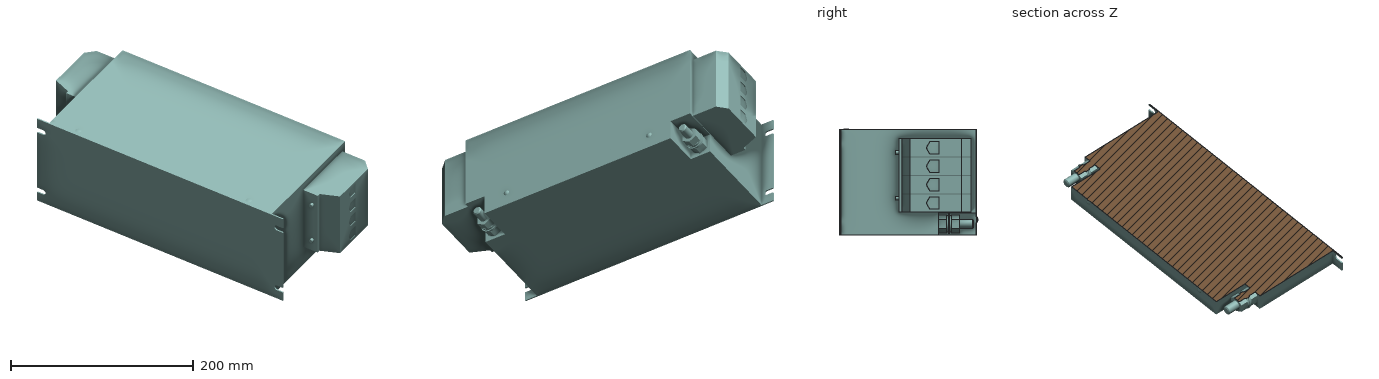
import cadquery as cq
import math

BOX_LENGTH = 290.0
BOX_DEPTH = 150.0
BOX_HEIGHT = 116.0
BOX_END_X = BOX_LENGTH / 2

PLATE_LENGTH = 320.0
PLATE_THICKNESS = 1.5
SLOT_WIDTH = 6.5
SLOT_DEPTH = 11.0
LOWER_SLOT_Z = 15.0
SLOT_SPACING = 85.0

DOME_DIAMETER = 6.8
TOP_DOME_HEIGHT = 0.47
REAR_DOME_HEIGHT = 1.47
TOP_SCREW_X = 111.0
TOP_SCREW_Y = 7.2
REAR_SCREW_X = 92.0
REAR_SCREW_Z = 17.0

OVERALL_LENGTH = 369.8
BLOCK_OUTER_X = OVERALL_LENGTH / 2
BLOCK_REAR_Y = 144.0
BLOCK_FRONT_Y = 67.9
BLOCK_CHAMFER = 10.2
SLOPE_LENGTH = 21.2
SLOPE_REAR_Y = 77.2
SLOPE_FRONT_Y = 68.6
TERMINAL_COUNT = 4
TERMINAL_PITCH = 20.15
BLOCK_BOTTOM_Z = 25.2
BLOCK_HEIGHT = TERMINAL_COUNT * TERMINAL_PITCH

ENTRY_REAR_Y = 108.8
ENTRY_SHOULDER_Y = 98.8
ENTRY_TIP_Y = 95.0
ENTRY_HALF_WIDTH = 6.8
ENTRY_DEPTH = 1.0

FLANGE_THICKNESS = 3.0
FLANGE_OUTER_X = BLOCK_OUTER_X - SLOPE_LENGTH
FLANGE_FRONT_Y = BLOCK_FRONT_Y - FLANGE_THICKNESS
FLANGE_SCREW_DIAMETER = 4.2
FLANGE_SCREW_LENGTH = 3.5
FLANGE_SCREW_X = 156.7
FLANGE_SCREW_SPACING = 50.0

RECESS_WIDTH = 25.0
RECESS_DEPTH = 41.8
RECESS_HEIGHT = 24.5
RECESS_FRONT_Y = BOX_DEPTH - RECESS_DEPTH
STUD_X = BOX_END_X - RECESS_WIDTH / 2
STUD_Z = 12.5
STUD_DIAMETER = 10.0
STUD_LENGTH = 38.4
STUD_CHAMFER = 1.2
NUT_ACROSS_FLATS = 17.0
NUT_ACROSS_CORNERS = NUT_ACROSS_FLATS / math.cos(math.radians(30))
NUT_HEIGHT = 8.9
WASHER_DIAMETER = 18.5
WASHER_THICKNESS = 2.2
DISC_DIAMETER = 21.0
DISC_THICKNESS = 1.1


def slab(x_range, y_range, z_range):
    """Rectangular block between the given limits."""
    corner, size = zip(*((low, high - low) for low, high in (x_range, y_range, z_range)))
    return cq.Workplane("XY").box(*size, centered=False).translate(corner)


def plane_along_y(x, y, z):
    """Work plane at a point, with normal +Y and local X along Z."""
    return cq.Workplane(cq.Plane(origin=(x, y, z), xDir=(0, 0, 1), normal=(0, 1, 0)))


def mirrored(x_sign, shape):
    """The shape itself at the +X end, its mirror image at the -X end."""
    return shape if x_sign > 0 else shape.mirror("YZ")


def housing():
    return slab((-BOX_END_X, BOX_END_X), (0, BOX_DEPTH), (0, BOX_HEIGHT))


def stud_recess():
    return slab((BOX_END_X - RECESS_WIDTH, BOX_END_X), (RECESS_FRONT_Y, BOX_DEPTH), (0, RECESS_HEIGHT))


def mounting_plate():
    plate_end_x = PLATE_LENGTH / 2
    plate = slab((-plate_end_x, plate_end_x), (0, PLATE_THICKNESS), (0, BOX_HEIGHT))
    for x in (-plate_end_x, plate_end_x):
        for z in (LOWER_SLOT_Z, LOWER_SLOT_Z + SLOT_SPACING):
            slot = plane_along_y(x, 0, z).slot2D(2 * SLOT_DEPTH, SLOT_WIDTH, 90).extrude(PLATE_THICKNESS)
            plate = plate.cut(slot)
    return plate


def screw_dome(height):
    """Spherical cap standing on the XY plane."""
    radius = DOME_DIAMETER / 2
    sphere_radius = (radius**2 + height**2) / (2 * height)
    half_angle = math.asin(radius / sphere_radius) / 2
    mid_x = sphere_radius * math.sin(half_angle)
    mid_z = height - sphere_radius * (1 - math.cos(half_angle))
    profile = (
        cq.Workplane("XZ")
        .lineTo(radius, 0)
        .threePointArc((mid_x, mid_z), (0, height))
        .close()
    )
    return profile.revolve(360, (0, 0, 0), (0, 1, 0))


def top_screw():
    return screw_dome(TOP_DOME_HEIGHT).translate((TOP_SCREW_X, TOP_SCREW_Y, BOX_HEIGHT))


def rear_screw():
    dome = screw_dome(REAR_DOME_HEIGHT).rotate((0, 0, 0), (1, 0, 0), -90)
    return dome.translate((REAR_SCREW_X, BOX_DEPTH, REAR_SCREW_Z))


def terminal():
    """One terminal of a block, standing on the XY plane at the +X end."""
    outline = [
        (BOX_END_X, BLOCK_FRONT_Y),
        (FLANGE_OUTER_X, BLOCK_FRONT_Y),
        (FLANGE_OUTER_X, SLOPE_FRONT_Y),
        (BLOCK_OUTER_X, SLOPE_REAR_Y),
        (BLOCK_OUTER_X, BLOCK_REAR_Y - BLOCK_CHAMFER),
        (BLOCK_OUTER_X - BLOCK_CHAMFER, BLOCK_REAR_Y),
        (BOX_END_X, BLOCK_REAR_Y),
    ]
    body = cq.Workplane("XY").polyline(outline).close().extrude(TERMINAL_PITCH)
    middle_z = TERMINAL_PITCH / 2
    low_z = middle_z - ENTRY_HALF_WIDTH
    high_z = middle_z + ENTRY_HALF_WIDTH
    entry = (
        cq.Workplane("YZ", origin=(BLOCK_OUTER_X, 0, 0))
        .moveTo(ENTRY_REAR_Y, low_z)
        .lineTo(ENTRY_SHOULDER_Y, low_z)
        .lineTo(ENTRY_TIP_Y, middle_z)
        .lineTo(ENTRY_SHOULDER_Y, high_z)
        .lineTo(ENTRY_REAR_Y, high_z)
        .close()
        .extrude(-ENTRY_DEPTH)
    )
    return body.cut(entry)


def terminal_block():
    """Stack of terminals; the joints between them stay as edges on its faces."""
    block = terminal().translate((0, 0, BLOCK_BOTTOM_Z))
    for index in range(1, TERMINAL_COUNT):
        z = BLOCK_BOTTOM_Z + index * TERMINAL_PITCH
        block = block.union(terminal().translate((0, 0, z)), clean=False)
    return block


def flange():
    top_z = BLOCK_BOTTOM_Z + BLOCK_HEIGHT
    strip = slab((BOX_END_X, FLANGE_OUTER_X), (FLANGE_FRONT_Y, BLOCK_FRONT_Y), (BLOCK_BOTTOM_Z, top_z))
    middle_z = BLOCK_BOTTOM_Z + BLOCK_HEIGHT / 2
    for z_sign in (-1, 1):
        z = middle_z + z_sign * FLANGE_SCREW_SPACING / 2
        screw_plane = plane_along_y(FLANGE_SCREW_X, FLANGE_FRONT_Y, z)
        strip = strip.union(screw_plane.circle(FLANGE_SCREW_DIAMETER / 2).extrude(-FLANGE_SCREW_LENGTH))
    return strip


def earth_stud():
    """Stud along +Y carrying nut, washer, disc, washer and nut from the recess wall out."""
    base = plane_along_y(STUD_X, RECESS_FRONT_Y, STUD_Z)
    stud = base.circle(STUD_DIAMETER / 2).extrude(STUD_LENGTH).faces(">Y").chamfer(STUD_CHAMFER)
    nut = base.polygon(6, NUT_ACROSS_CORNERS).extrude(NUT_HEIGHT)
    washer = base.circle(WASHER_DIAMETER / 2).extrude(WASHER_THICKNESS)
    disc = base.circle(DISC_DIAMETER / 2).extrude(DISC_THICKNESS)
    stack = [
        (nut, NUT_HEIGHT),
        (washer, WASHER_THICKNESS),
        (disc, DISC_THICKNESS),
        (washer, WASHER_THICKNESS),
        (nut, NUT_HEIGHT),
    ]
    offset = 0.0
    for item, thickness in stack:
        stud = stud.union(item.translate((0, offset, 0)))
        offset += thickness
    return stud


result = housing().union(mounting_plate())
for end in (-1, 1):
    result = result.cut(mirrored(end, stud_recess()))
for end in (-1, 1):
    for feature in (earth_stud(), top_screw(), rear_screw(), terminal_block(), flange()):
        result = result.union(mirrored(end, feature), clean=False)